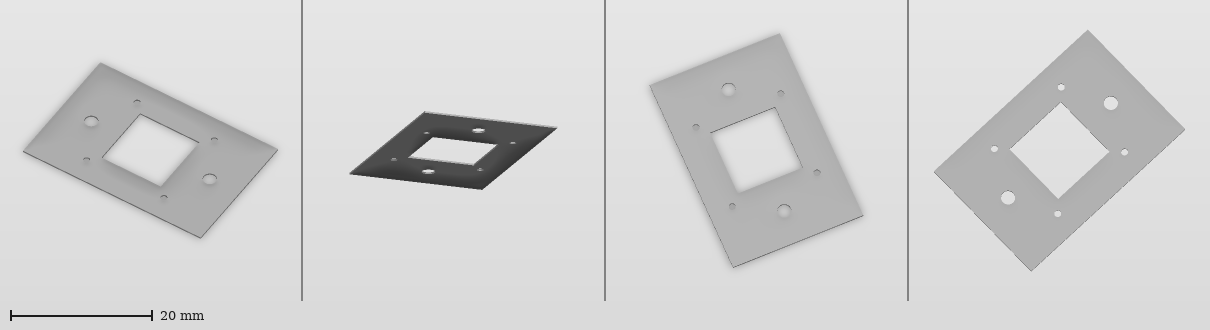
import cadquery as cq

plate_length = 30.0
plate_width = 20.0
plate_thickness = 0.25

window_side = plate_length / 3

large_hole_diameter = 2.0
large_hole_spacing = 2 * plate_length / 3

small_hole_diameter = 1.0
small_hole_spacing = 13.02

plate = cq.Workplane("XY").box(plate_length, plate_width, plate_thickness)

window = cq.Workplane("XY").box(window_side, window_side, 2 * plate_thickness)

large_holes = (
    cq.Workplane("XY")
    .rarray(large_hole_spacing, 0.3, 2, 1)
    .circle(large_hole_diameter / 2)
    .extrude(plate_thickness, both=True)
)

small_holes = (
    cq.Workplane("XY")
    .rarray(small_hole_spacing, small_hole_spacing, 2, 2)
    .circle(small_hole_diameter / 2)
    .extrude(plate_thickness, both=True)
)

result = plate.cut(window).cut(large_holes).cut(small_holes)